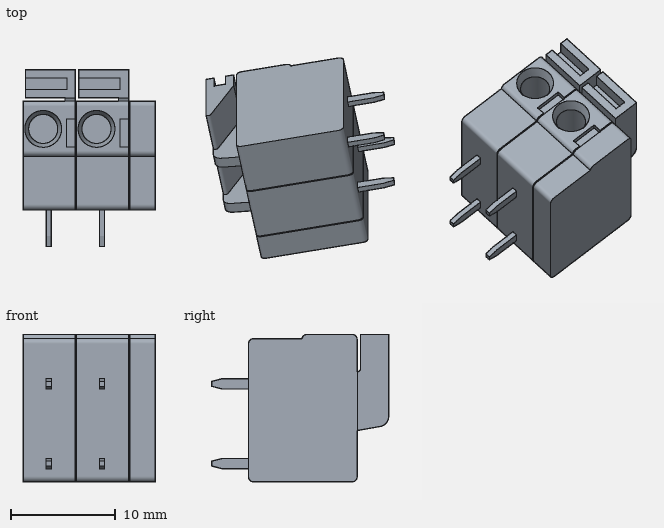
import cadquery as cq
import math


pole_count = 2
housing_width = 4.99
side_gap = 0.1
pole_pitch = housing_width + side_gap
end_plate_width = 2.43

housing_depth = 10.4
housing_height = 14.1
step_drop = 0.4
step_y = 5.1
edge_radius = 0.5

entry_x = 1.91
entry_y = 7.74
entry_bore_diameter = 2.77
entry_mouth_diameter = 3.52
entry_mouth_depth = 1.0
entry_depth = 5.07

recess_width = 0.85
recess_length = 2.65
recess_depth = 0.5
recess_front_y = 6.03

lever_reach = 3.0
lever_gap = 0.3
stem_width = 1.0
stem_top_depth = 3.57
stem_bottom_depth = 9.2
stem_bottom_slope = 10
stem_corner_radius = 1.0
notch_radius = 0.29
head_width = 4.78
head_inner_depth = 2.03
head_slope = 65
head_tip_radius = 0.25
slot_length = 3.97
slot_width = 1.1
slot_depth = 1.49

pin_x = 2.43
pin_heights = [1.75, 9.36]
pin_length = 3.5
pin_width = 0.5
pin_height = 1.0
pin_tip_length = 1.0
pin_tip_height = 0.49

lever_back_y = housing_depth + lever_reach
head_inner_y = housing_depth + lever_gap
head_thickness = lever_back_y - head_inner_y


def extrude_along_x(outline, x_start, width):
    """Prism along +X from an outline of (y, z) points."""
    return cq.Workplane("YZ", origin=(x_start, 0, 0)).polyline(outline).close().extrude(width)


def box(x_start, y_start, z_start, width, length, height):
    """Box given by its lowest corner and its sizes along X, Y and Z."""
    lowest_corner = (x_start, y_start, z_start)
    return cq.Workplane("XY", origin=lowest_corner).box(width, length, height, centered=False)


def round_edge_at(body, x, y, z, radius):
    """Fillet the edge along X whose middle is nearest to the given point."""
    return body.edges("|X").edges(cq.NearestToPointSelector((x, y, z))).fillet(radius)


def make_stepped_block(x_start, width):
    """Block with rounded long edges and a raised rear part whose front edge is rounded too."""
    low_height = housing_height - step_drop
    low_part = box(x_start, 0, 0, width, housing_depth, low_height).edges("|X").fillet(edge_radius)
    raised_part = box(x_start, step_y, 0, width, housing_depth - step_y, housing_height)
    raised_part = raised_part.edges("|X and (>Z or >Y)").fillet(edge_radius)
    front_part = low_part.intersect(box(x_start, 0, 0, width, step_y + edge_radius, low_height))
    return front_part.union(raised_part).clean()


def make_wire_entry(x_start):
    """Solid of revolution that is cut out for a wire: a cone above a cylinder."""
    bore_radius = entry_bore_diameter / 2
    profile = [
        (0, 0),
        (entry_mouth_diameter / 2, 0),
        (bore_radius, -entry_mouth_depth),
        (bore_radius, -entry_depth),
        (0, -entry_depth),
    ]
    entry = cq.Workplane("XZ").polyline(profile).close().revolve(360, (0, 0), (0, 1))
    return entry.translate((x_start + entry_x, entry_y, housing_height))


def make_housing(x_start):
    recess = box(
        x_start + housing_width - recess_width, recess_front_y, housing_height - recess_depth,
        recess_width, recess_length, recess_depth,
    )
    block = make_stepped_block(x_start, housing_width)
    return block.cut(make_wire_entry(x_start)).cut(recess)


def make_lever_stem(x_start):
    """Narrow part over the full lever height, which joins the head to the housing."""
    top_z = housing_height
    stem_top_z = top_z - stem_top_depth
    bottom_z = top_z - stem_bottom_depth
    back_bottom_z = bottom_z + lever_reach * math.tan(math.radians(stem_bottom_slope))
    outline = [
        (housing_depth, bottom_z),
        (housing_depth, stem_top_z),
        (head_inner_y, stem_top_z),
        (head_inner_y, top_z),
        (lever_back_y, top_z),
        (lever_back_y, back_bottom_z),
    ]
    stem = extrude_along_x(outline, x_start, stem_width)
    middle_x = x_start + stem_width / 2
    stem = round_edge_at(stem, middle_x, lever_back_y, back_bottom_z, stem_corner_radius)
    return round_edge_at(stem, middle_x, head_inner_y, stem_top_z, notch_radius)


def make_lever_head(x_start):
    """Wide part with a sloping underside that ends in a rounded tip at the back."""
    top_z = housing_height
    inner_z = top_z - head_inner_depth
    tip_z = inner_z - head_thickness * math.tan(math.radians(head_slope))
    outline = [
        (head_inner_y, top_z),
        (head_inner_y, inner_z),
        (lever_back_y, tip_z),
        (lever_back_y, top_z),
    ]
    head = extrude_along_x(outline, x_start, head_width)
    return round_edge_at(head, x_start + head_width / 2, lever_back_y, tip_z, head_tip_radius)


def make_lever(housing_x):
    right_x = housing_x + housing_width
    head_x = right_x - head_width
    slot = box(
        head_x, head_inner_y + (head_thickness - slot_width) / 2, housing_height - slot_depth,
        slot_length, slot_width, slot_depth,
    )
    head = make_lever_head(head_x)
    stem = make_lever_stem(right_x - stem_width)
    return head.union(stem).cut(slot)


def make_pin(center_x, center_z):
    """Flat pin that points to -Y and tapers in height towards its tip."""
    half_height = pin_height / 2
    half_tip = pin_tip_height / 2
    taper_y = pin_tip_length - pin_length
    outline = [
        (0, center_z - half_height),
        (0, center_z + half_height),
        (taper_y, center_z + half_height),
        (-pin_length, center_z + half_tip),
        (-pin_length, center_z - half_tip),
        (taper_y, center_z - half_height),
    ]
    return extrude_along_x(outline, center_x - pin_width / 2, pin_width)


housings = []
levers = []
pins = []
for pole in range(pole_count):
    pole_x = pole * pole_pitch
    housings.append(make_housing(pole_x).val())
    levers.append(make_lever(pole_x).val())
    for pin_z in pin_heights:
        pins.append(make_pin(pole_x + pin_x, pin_z).val())

end_plate = make_stepped_block(pole_count * pole_pitch, end_plate_width)

result = cq.Compound.makeCompound([*housings, end_plate.val(), *levers, *pins])